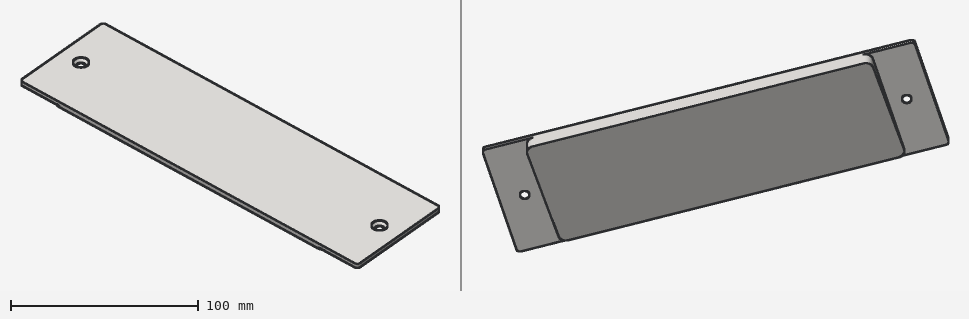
import cadquery as cq

length = 240.0
width = 66.7
height = 11.8

plate_thickness = 3.0
plate_corner_radius = 2.0

wedge_length = 192.0
wedge_shallow_depth = 0.7
wedge_deep_depth = height - plate_thickness
wedge_corner_radius = 4.0

hole_radius = 5.0 / 2
head_radius = 8.6 / 2
head_recess_depth = 0.5
countersink_depth = head_radius - hole_radius
hole_offset = 106.0


def make_plate():
    """Flat plate with rounded corners, its underside at Z = 0."""
    plate = cq.Workplane("XY").rect(length, width).extrude(plate_thickness)
    return plate.edges("|Z").fillet(plate_corner_radius)


def make_wedge():
    """Block with rounded upright corners and a sloping underside."""
    side_profile = [
        (-width / 2, 0),
        (width / 2, 0),
        (width / 2, -wedge_deep_depth),
        (-width / 2, -wedge_shallow_depth),
    ]
    wedge = cq.Workplane("YZ").polyline(side_profile).close().extrude(wedge_length / 2, both=True)
    return wedge.edges("|Z").fillet(wedge_corner_radius)


def make_screw_hole(x):
    """Cutter for one hole: straight head recess, cone, then a through bore."""
    cone_top = plate_thickness - head_recess_depth
    half_profile = [
        (0, 0),
        (hole_radius, 0),
        (hole_radius, cone_top - countersink_depth),
        (head_radius, cone_top),
        (head_radius, plate_thickness),
        (0, plate_thickness),
    ]
    cutter = cq.Workplane("XZ").polyline(half_profile).close().revolve(360, (0, 0, 0), (0, 1, 0))
    return cutter.translate((x, 0, 0))


result = make_plate().union(make_wedge())
for hole_x in (-hole_offset, hole_offset):
    result = result.cut(make_screw_hole(hole_x))